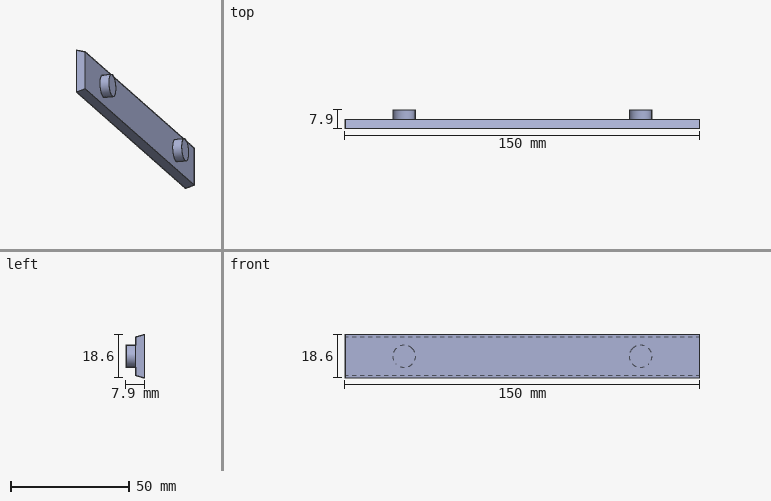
import cadquery as cq

length = 150.0
front_height = 18.55
total_depth = 7.9
plate_thickness = 3.9
edge_inset = 1.1
peg_diameter = 9.5
peg_spacing = 100.0

peg_length = total_depth - plate_thickness
front_half_height = front_height / 2
back_half_height = front_half_height - edge_inset


def make_plate():
    """Bar along X with its front face on Y = 0, narrowing in height towards the back."""
    section = [
        (0, -front_half_height),
        (plate_thickness, -back_half_height),
        (plate_thickness, back_half_height),
        (0, front_half_height),
    ]
    return cq.Workplane("YZ").polyline(section).close().extrude(length / 2, both=True)


def make_peg(x):
    """Round peg standing on the back face, at mid height and at the given X."""
    base_center = cq.Vector(x, plate_thickness, 0)
    backward = cq.Vector(0, 1, 0)
    return cq.Solid.makeCylinder(peg_diameter / 2, peg_length, base_center, backward)


result = make_plate()
for peg_x in (-peg_spacing / 2, peg_spacing / 2):
    result = result.union(cq.Workplane(make_peg(peg_x)))